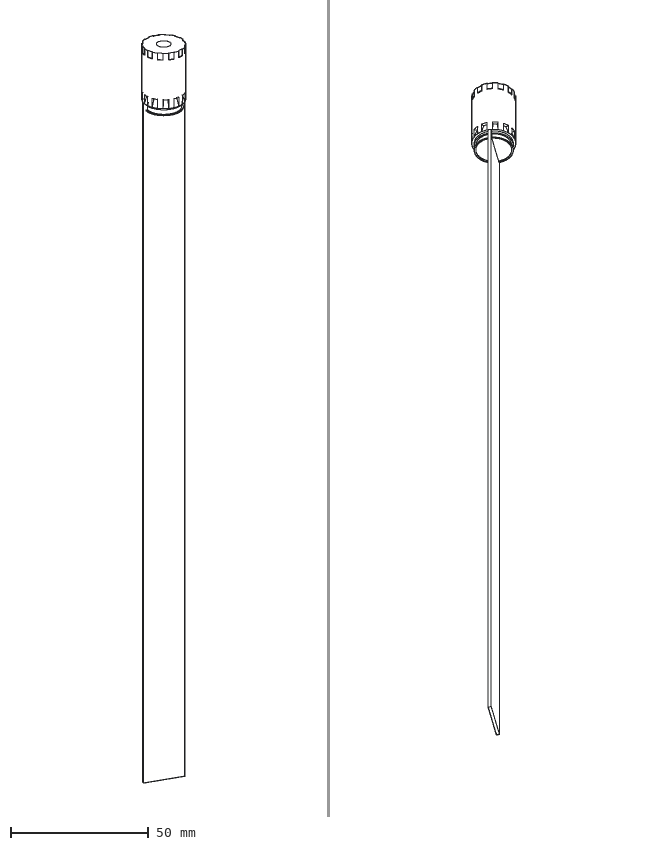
import cadquery as cq

total_length = 296.0
cap_diameter = 16.0
cap_radius = cap_diameter / 2

cap_height = 22.2
top_band_height = 2.7
tooth_count = 12
tooth_width = 2.0
notch_depth = 0.3
groove_height = 3.5
groove_depth = 1.2

plug_height = 3.3
plug_radius = 7.0
waist_radius = 6.5
shoulder_height = 1.0
flange_thickness = 0.3
stem_radius = 2.7

blade_thickness = 1.2
blade_width = cap_diameter

cap_bottom = total_length - cap_height
plug_bottom = cap_bottom - plug_height


def tooth_ring(bottom, height, depth):
    """Evenly spaced blocks that reach into the cap's outer surface by the given depth."""
    teeth = cq.Workplane("XY")
    for index in range(tooth_count):
        angle = 360 * index / tooth_count
        tooth = (
            cq.Workplane("XY")
            .box(2 * depth, tooth_width, height, centered=(True, True, False))
            .translate((cap_radius, 0, bottom))
            .rotate((0, 0, 0), (0, 0, 1), angle)
        )
        teeth = teeth.add(tooth)
    return teeth.combine()


def ribbed_groove():
    """Groove cutter, sloping outward to the lower rim and gapped to leave standing ribs."""
    groove_top = cap_bottom + groove_height
    profile = [
        (cap_radius, groove_top),
        (cap_radius - groove_depth, groove_top),
        (cap_radius, cap_bottom),
    ]
    groove = cq.Workplane("XZ").polyline(profile).close().revolve(360, (0, 0), (0, 1))
    return groove.cut(tooth_ring(cap_bottom, groove_height, 2 * groove_depth))


def make_cap():
    """Round cap with a notched top rim, a ribbed lower groove and a bore for the stem."""
    cap = cq.Workplane("XY").workplane(offset=cap_bottom).circle(cap_radius).extrude(cap_height)
    cap = cap.cut(tooth_ring(total_length - top_band_height, top_band_height, notch_depth))
    cap = cap.cut(ribbed_groove())
    bore = cq.Workplane("XY").workplane(offset=cap_bottom).circle(stem_radius).extrude(cap_height)
    return cap.cut(bore)


def make_blade():
    """Flat strip that ends against the underside of the cap."""
    return cq.Workplane("XY").box(
        blade_thickness, blade_width, cap_bottom, centered=(True, True, False)
    )


def make_plug(blade):
    """Waisted stopper slotted for the blade; the stem joins its two halves."""
    flange_top = plug_bottom + flange_thickness
    shoulder_bottom = cap_bottom - shoulder_height
    plug = (
        cq.Workplane("XZ")
        .moveTo(0, plug_bottom)
        .lineTo(plug_radius, plug_bottom)
        .lineTo(plug_radius, flange_top)
        .lineTo(waist_radius, flange_top)
        .lineTo(waist_radius, shoulder_bottom)
        .lineTo(plug_radius, shoulder_bottom)
        .lineTo(plug_radius, cap_bottom)
        .lineTo(stem_radius, cap_bottom)
        .lineTo(stem_radius, total_length)
        .lineTo(0, total_length)
        .close()
        .revolve(360, (0, 0), (0, 1))
    )
    return plug.cut(blade)


cap = make_cap()
blade = make_blade()
plug = make_plug(blade)
result = cq.Compound.makeCompound([cap.val(), plug.val(), blade.val()])